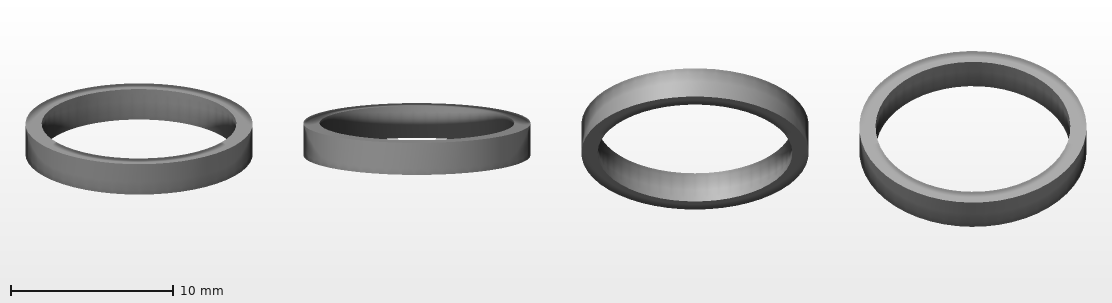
import cadquery as cq

outer_diameter = 14.0
height = 2.0
wall_thickness = height / 2
inner_diameter = outer_diameter - 2 * wall_thickness

result = (
    cq.Workplane("XY")
    .circle(outer_diameter / 2)
    .circle(inner_diameter / 2)
    .extrude(height)
)